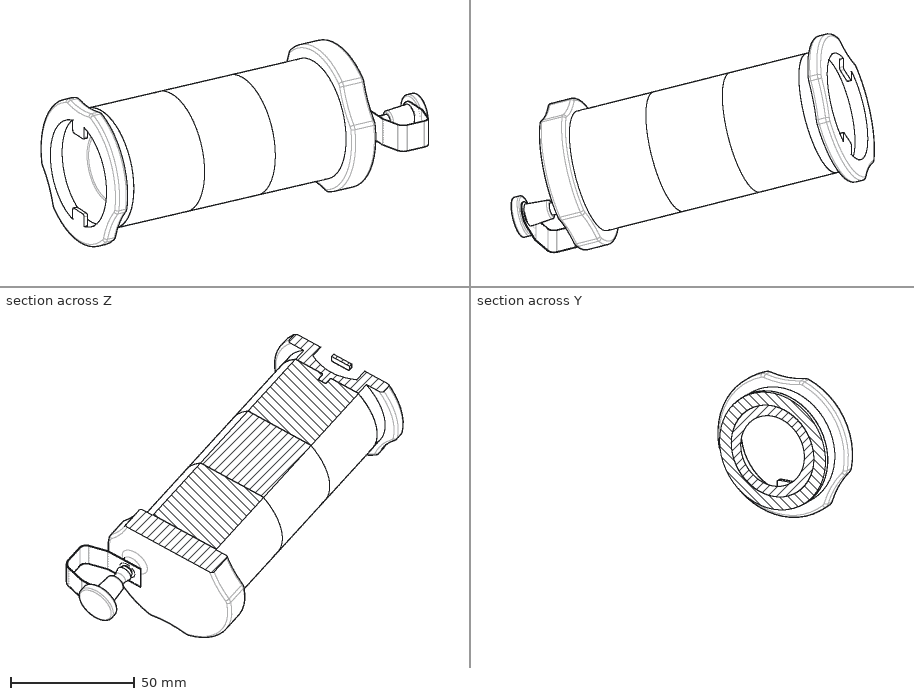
import cadquery as cq
import math


grip_diameter = 61.3
grip_radius = grip_diameter / 2
scallop_count = 3
scallop_radius = 37.7
scallop_floor = 28.2
shoulder_fillet = 3.5
rim_fillet = 1.2
front_scallop_angle = 90.0
rear_scallop_angle = 270.0
front_grip_depth = 5.5
rear_grip_depth = 11.3

tube_diameter = 50.2
tube_radius = tube_diameter / 2
collar_radius = 25.0
segment_count = 3
segment_length = 33.5
collar_length = 5.7
tube_start = front_grip_depth + collar_length
tube_end = tube_start + segment_count * segment_length

bore_radius = 22.3
funnel_floor_radius = 14.6
funnel_floor = front_grip_depth + bore_radius - funnel_floor_radius
funnel_fillet = 1.0
lug_width = 9.0
lug_tip = 16.5
lug_fillet = 0.9
lug_thickness = 1.7
lug_root = 1.5
spigot_radius = 19.6
spigot_wall = 1.5
spigot_end = funnel_floor + spigot_wall

nozzle_x = 16.7
rear_face = tube_end + rear_grip_depth
nozzle_root = rear_face - rear_grip_depth / 2
nozzle_base_radius = 4.4
nozzle_base_fillet = 2.1
seat_radius = 3.8
seat_y = 128.2
tip_radius = 2.5
barb_radius = 3.3
barb_y = 130.5
barb_top = 133.1

top_y = 150.6
cap_radius = 8.5
cap_bottom = 147.2
cap_fillet = 0.6
neck_radius = 3.8
stem_top = 146.3
stem_top_radius = 4.7
stem_bottom = 136.0
stem_bottom_radius = 3.9
stem_fillet = 0.8

strap_width = 11.5
strap_thickness = 0.5
overall_width = 67.5
strap_reach = overall_width - grip_radius
strap_flat = 9.5
strap_rise = 2.9
strap_bend_radius = 3.5
strap_overhang = 6.8


def disc(radius, y_start, y_end, x=0.0):
    """Cylinder along Y."""
    return cq.Workplane("XZ", origin=(x, y_start, 0)).circle(radius).extrude(y_start - y_end)


def revolved(profile, x=0.0):
    """Solid of revolution about a line parallel to Y, from (radius, y) points."""
    return cq.Workplane("XY", origin=(x, 0, 0)).polyline(profile).close().revolve(360, (0, 0), (0, 1))


def grip_disc(y_start, y_end, first_angle):
    """Disc with concave scallops in its rim and rounded edges."""
    grip = disc(grip_radius, y_start, y_end)
    for i in range(scallop_count):
        angle = math.radians(first_angle + i * 360 / scallop_count)
        reach = scallop_floor + scallop_radius
        cutter = disc(scallop_radius, y_start, y_end, reach * math.cos(angle))
        grip = grip.cut(cutter.translate((0, 0, reach * math.sin(angle))))
    grip = grip.edges("|Y").fillet(shoulder_fillet)
    return grip.faces("<Y or >Y").edges().fillet(rim_fillet)


def make_front_lid():
    lid = grip_disc(0, front_grip_depth, front_scallop_angle)
    lid = lid.union(disc(collar_radius, front_grip_depth, tube_start))
    lid = lid.union(disc(spigot_radius, tube_start, spigot_end))
    funnel = revolved([
        (0, 0),
        (bore_radius, 0),
        (bore_radius, front_grip_depth),
        (funnel_floor_radius, funnel_floor),
        (0, funnel_floor),
    ])
    lid = lid.cut(funnel.faces(">Y").edges().fillet(funnel_fillet))
    lug_length = bore_radius + lug_root - lug_tip
    for side in (1, -1):
        lug = (
            cq.Workplane("XY")
            .box(lug_width, lug_thickness, lug_length, centered=(True, False, False))
            .edges("|Y and <Z")
            .fillet(lug_fillet)
            .translate((0, 0, lug_tip))
        )
        lid = lid.union(lug if side > 0 else lug.mirror("XY"))
    return lid


def make_segment(index):
    start = tube_start + index * segment_length
    segment = disc(tube_radius, start, start + segment_length)
    if index == 0:
        segment = segment.cut(disc(spigot_radius, start, spigot_end))
    return segment


def make_rear_lid():
    """Grip disc with the barbed nozzle on its outer face."""
    nozzle = revolved([
        (0, nozzle_root),
        (nozzle_base_radius, nozzle_root),
        (nozzle_base_radius, rear_face),
        (seat_radius, seat_y),
        (tip_radius, seat_y),
        (tip_radius, seat_y + strap_thickness),
        (barb_radius, barb_y),
        (tip_radius, barb_top),
        (tip_radius, stem_bottom),
        (0, stem_bottom),
    ], nozzle_x)
    lid = grip_disc(tube_end, rear_face, rear_scallop_angle).union(nozzle)
    root_point = (nozzle_x, rear_face, nozzle_base_radius)
    return lid.edges(cq.selectors.NearestToPointSelector(root_point)).fillet(nozzle_base_fillet)


def make_plug():
    cap = disc(cap_radius, cap_bottom, top_y, nozzle_x).edges().fillet(cap_fillet)
    neck = disc(neck_radius, stem_top, cap_bottom, nozzle_x)
    stem = revolved([
        (0, stem_bottom),
        (stem_bottom_radius, stem_bottom),
        (stem_top_radius, stem_top),
        (0, stem_top),
    ], nozzle_x)
    stem = stem.faces("<Y").edges().fillet(stem_fillet)
    return cap.union(neck).union(stem)


def make_strap():
    """Bent band, square below and round above, with holes for the nozzle and the plug neck."""
    left = nozzle_x - strap_overhang
    bend = nozzle_x + strap_flat
    band = (
        cq.Workplane("XY", origin=(0, 0, -strap_width / 2))
        .polyline([
            (left, seat_y),
            (bend, seat_y),
            (strap_reach, seat_y + strap_rise),
            (strap_reach, cap_bottom - strap_rise),
            (bend, cap_bottom),
            (left, cap_bottom),
        ])
        .close()
        .extrude(strap_width)
    )
    band = band.edges("|Z and >X").fillet(strap_bend_radius)
    band = band.faces("<X or <Z or >Z").shell(-strap_thickness)
    upper_inner = cap_bottom - strap_thickness
    end_trim = (
        cq.Workplane("XY", origin=(nozzle_x, upper_inner, 0))
        .box(strap_overhang, strap_thickness, strap_width, centered=(False, False, True))
        .translate((-strap_overhang, 0, 0))
        .cut(disc(strap_width / 2, upper_inner, cap_bottom, nozzle_x))
    )
    band = band.cut(end_trim)
    band = band.cut(disc(tip_radius, seat_y, seat_y + strap_thickness, nozzle_x))
    return band.cut(disc(neck_radius, upper_inner, cap_bottom, nozzle_x))


front_lid = make_front_lid()
segments = [make_segment(i) for i in range(segment_count)]
rear_lid = make_rear_lid()
plug = make_plug()
strap = make_strap()

result = cq.Compound.makeCompound([
    front_lid.val(),
    *[segment.val() for segment in segments],
    rear_lid.val(),
    plug.val(),
    strap.val(),
])